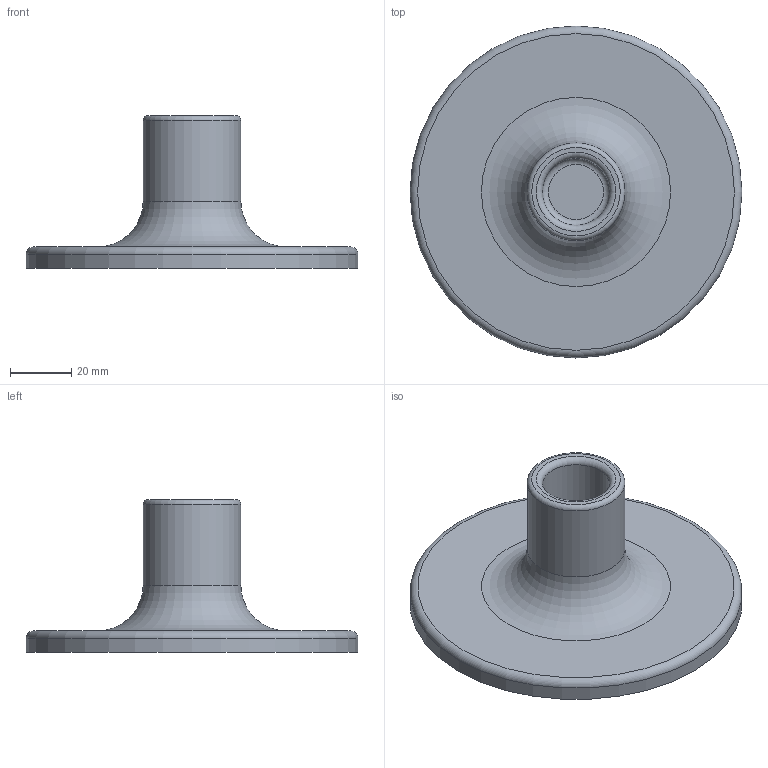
import cadquery as cq
import math

base_diameter = 108.82
base_thickness = 7.0
base_rim_radius = 2.5

total_height = 50.0
post_diameter = 32.0
post_root_radius = 15.0
post_rim_radius = 1.5

bore_diameter = 22.0
bore_floor_z = base_thickness
bore_mouth_radius = 2.0
bore_floor_radius = 2.0

base_radius = base_diameter / 2
post_radius = post_diameter / 2
bore_radius = bore_diameter / 2


def rounded_corner(sketch, center, radius, start_angle, end_angle):
    """Line to a quarter-round, then follow it; angles in degrees from the radial direction."""

    def arc_point(angle):
        direction = math.radians(angle)
        return (
            center[0] + radius * math.cos(direction),
            center[1] + radius * math.sin(direction),
        )

    middle_angle = (start_angle + end_angle) / 2
    sketch = sketch.lineTo(*arc_point(start_angle))
    return sketch.threePointArc(arc_point(middle_angle), arc_point(end_angle))


def half_section():
    """Closed half section in the XZ plane, going from the axis outward, up and down the bore."""
    base_rim_center = (base_radius - base_rim_radius, base_thickness - base_rim_radius)
    post_root_center = (post_radius + post_root_radius, base_thickness + post_root_radius)
    post_rim_center = (post_radius - post_rim_radius, total_height - post_rim_radius)
    bore_mouth_center = (bore_radius + bore_mouth_radius, total_height - bore_mouth_radius)
    bore_floor_center = (bore_radius - bore_floor_radius, bore_floor_z + bore_floor_radius)

    section = cq.Workplane("XZ").lineTo(base_radius, 0)
    section = rounded_corner(section, base_rim_center, base_rim_radius, 0, 90)
    section = rounded_corner(section, post_root_center, post_root_radius, 270, 180)
    section = rounded_corner(section, post_rim_center, post_rim_radius, 0, 90)
    section = rounded_corner(section, bore_mouth_center, bore_mouth_radius, 90, 180)
    section = rounded_corner(section, bore_floor_center, bore_floor_radius, 0, -90)
    return section.lineTo(0, bore_floor_z).close()


result = half_section().revolve(360, (0, 0, 0), (0, 1, 0))